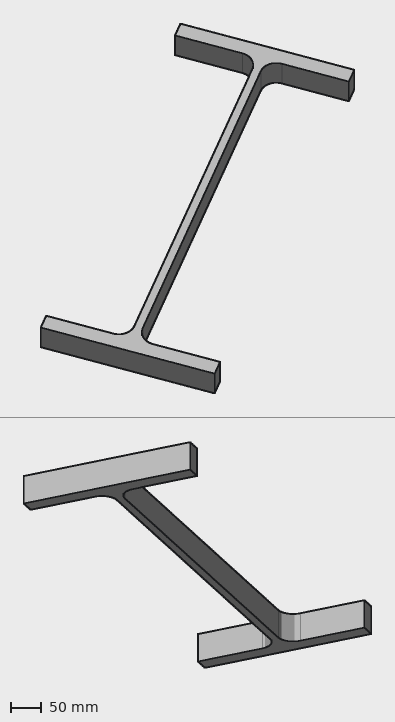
import cadquery as cq

section_depth = 690.0
flange_width = 300.0
beam_length = 50.0
flange_thickness = 27.0
web_thickness = 14.5
root_radius = 27.0


def flange(side):
    """Flange plate at the +Y (side = 1) or -Y (side = -1) end of the section."""
    center_y = side * (section_depth - flange_thickness) / 2
    return (
        cq.Workplane("XY")
        .center(0, center_y)
        .rect(flange_width, flange_thickness)
        .extrude(beam_length)
    )


web_depth = section_depth - 2 * flange_thickness
web = cq.Workplane("XY").rect(web_thickness, section_depth).extrude(beam_length)
beam = web.union(flange(1)).union(flange(-1))

root_zone = cq.selectors.BoxSelector(
    (-web_thickness, -(web_depth + flange_thickness) / 2, 0),
    (web_thickness, (web_depth + flange_thickness) / 2, beam_length),
)
result = beam.edges("|Z").edges(root_zone).fillet(root_radius)